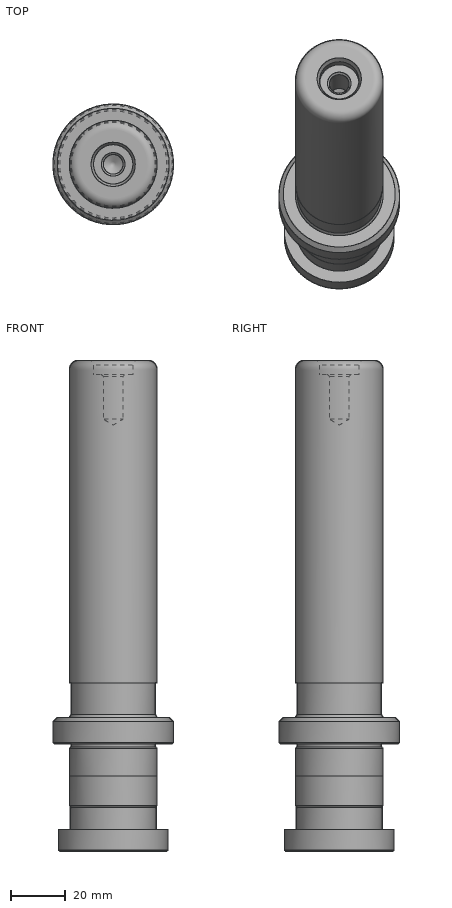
import cadquery as cq
import math

total_height = 179.0
washer_flange_top = 8.0
pillar_bottom = 16.0
lead_top = 27.5
collar_bottom = 39.2
collar_top = 48.9
neck_top = 61.4

washer_radius = 20.0
washer_chamfer = 0.5
spigot_radius = 15.8

shaft_diameter = 32.0
shaft_radius = shaft_diameter / 2
lead_clearance = 0.04
lead_radius = shaft_radius - lead_clearance
neck_radius = 15.4
collar_radius = 22.0
collar_top_chamfer = 1.6
collar_bottom_chamfer = 0.5
neck_flare_height = 1.0
undercut_height = 1.0
undercut_chamfer = shaft_radius - neck_radius
end_chamfer = 0.7
crown_radius = 3.4

bore_rim_radius = 8.0
bore_radius = 7.2
bore_chamfer_depth = 1.8
bore_depth = 5.2
drill_radius = 3.5
drill_chamfer = 0.7
drill_depth = 21.5
drill_point_angle = 118.0


def revolve_about_z(profile):
    """Turn a closed profile, drawn as (radius, height), about the Z axis."""
    return profile.close().revolve(360, (0, 0, 0), (0, 1, 0))


def make_washer():
    """Flanged disc with a spigot that meets the bottom of the pillar."""
    profile = (
        cq.Workplane("XZ")
        .lineTo(washer_radius - washer_chamfer, 0)
        .lineTo(washer_radius, washer_chamfer)
        .lineTo(washer_radius, washer_flange_top)
        .lineTo(spigot_radius, washer_flange_top)
        .lineTo(spigot_radius, pillar_bottom)
        .lineTo(0, pillar_bottom)
    )
    return revolve_about_z(profile)


def make_pillar_blank():
    """Collared guide pillar without its end hole."""
    undercut_bottom = collar_bottom - undercut_height
    crown_bottom = total_height - crown_radius
    crown_center_radius = shaft_radius - crown_radius
    crown_offset = crown_radius * math.sqrt(0.5)
    profile = (
        cq.Workplane("XZ")
        .moveTo(0, pillar_bottom)
        .lineTo(lead_radius - end_chamfer, pillar_bottom)
        .lineTo(lead_radius, pillar_bottom + end_chamfer)
        .lineTo(lead_radius, lead_top)
        .lineTo(shaft_radius, lead_top)
        .lineTo(shaft_radius, undercut_bottom - undercut_chamfer)
        .lineTo(neck_radius, undercut_bottom)
        .lineTo(neck_radius, collar_bottom)
        .lineTo(collar_radius - collar_bottom_chamfer, collar_bottom)
        .lineTo(collar_radius, collar_bottom + collar_bottom_chamfer)
        .lineTo(collar_radius, collar_top - collar_top_chamfer)
        .lineTo(collar_radius - collar_top_chamfer, collar_top)
        .lineTo(shaft_radius, collar_top)
        .lineTo(neck_radius, collar_top + neck_flare_height)
        .lineTo(neck_radius, neck_top)
        .lineTo(shaft_radius, neck_top)
        .lineTo(shaft_radius, crown_bottom)
        .threePointArc(
            (crown_center_radius + crown_offset, crown_bottom + crown_offset),
            (crown_center_radius, total_height),
        )
        .lineTo(0, total_height)
    )
    return revolve_about_z(profile)


def make_end_hole():
    """Chamfered counterbore with a drilled hole and conical drill point."""
    bore_floor = total_height - bore_depth
    drill_bottom = total_height - drill_depth
    point_depth = drill_radius / math.tan(math.radians(drill_point_angle / 2))
    profile = (
        cq.Workplane("XZ")
        .moveTo(0, total_height)
        .lineTo(bore_rim_radius, total_height)
        .lineTo(bore_radius, total_height - bore_chamfer_depth)
        .lineTo(bore_radius, bore_floor)
        .lineTo(drill_radius + drill_chamfer, bore_floor)
        .lineTo(drill_radius, bore_floor - drill_chamfer)
        .lineTo(drill_radius, drill_bottom)
        .lineTo(0, drill_bottom - point_depth)
    )
    return revolve_about_z(profile)


washer = make_washer()
pillar = make_pillar_blank().cut(make_end_hole())

result = cq.Compound.makeCompound([washer.val(), pillar.val()])